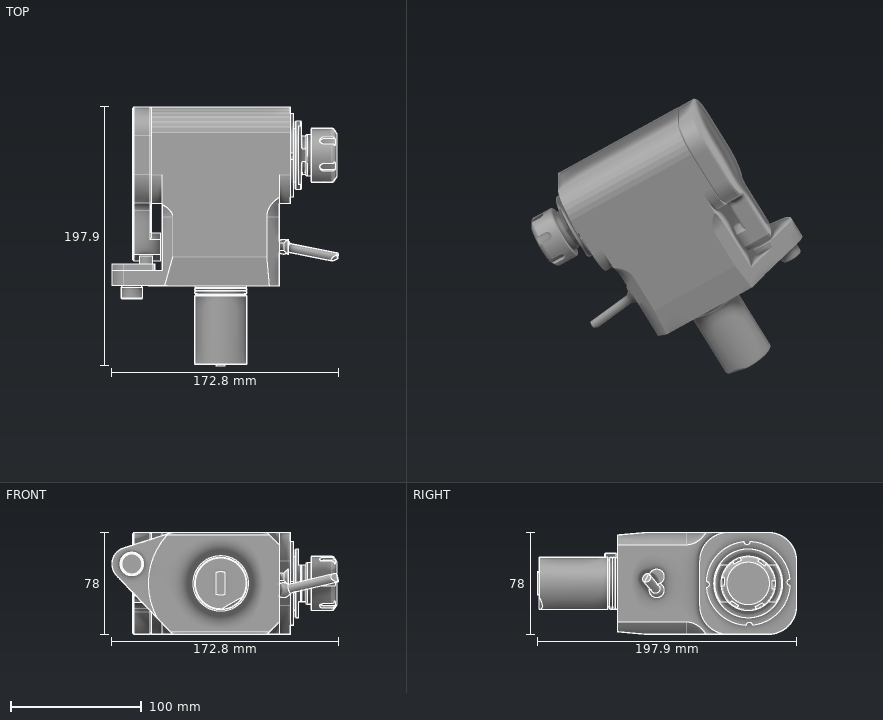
import cadquery as cq
import math


HALF_Z = 39.0
NECK_HALF_X = 44.7
HEAD_LEFT = -52.8
HEAD_RIGHT = 53.2
HEAD_TOP = 136.9
SPINDLE_Y = 99.9
HEAD_BOTTOM = 2 * SPINDLE_Y - HEAD_TOP
HEAD_RADIUS = 22.0
CORNER_FACETS = 8
FLANGE_THICKNESS = 22.2
TAPER_DROP = 2.0

CORNER_CUT_END = 52.8
CORNER_CUTTER_RADIUS = 20.0
RIGHT_CORNER_DISTANCE = 52.5
RIGHT_CORNER_ANGLE = 45

LUG_X = -70.2
LUG_Z = 14.8
LUG_RADIUS = 12.9
LUG_FRONT = 0.4
LUG_BACK = 12.0
LUG_UPPER_ANGLE = 107.6
LUG_LOWER_ANGLE = 223.8
FLANGE_FACE_RADIUS = 55.2

SHANK_RADIUS = 20.0
SHANK_LENGTH = 60.0
SHANK_CHAMFER = 0.5
COLLAR_RADIUS = 19.8
COLLAR_END = 1.8
GROOVE_RADIUS = 18.0
GROOVE_END = 7.0
SMALL_BEAD_DIAMETER = 1.7
LARGE_BEAD_DIAMETER = 2.2
BEAD_GAP = 0.2
RELIEF_DIAMETER = 42.3
RELIEF_DEPTH = 0.5
CHORD_DISTANCE = 17.2
CHORD_ANGLE = -60
TANG_WIDTH = 7.0
TANG_DIAMETER = 18.0
TANG_LENGTH = 1.0

RETAINER_DIAMETER = 64.0
RETAINER_FACE = 55.5
NOTCHES = 4
NOTCH_RADIUS = 2.4
NOTCH_TURN = 1.5

PORT_Y = 30.0
PORT_Z = 5.1
FITTING_DIAMETER = 6.0
FLARE_DIAMETER = 11.5
FLARE_START = 48.3
FLARE_END = 51.6
FLARE_RIM = 0.4
BALL_X = 47.9
BALL_DIAMETER = 11.5
TUBE_DIAMETER = 7.0
TUBE_LENGTH = 42.7
TUBE_PITCH = 13
TUBE_YAW = 11.2
TUBE_CUT_ROLL = 23
TUBE_CUT_DEPTH = 4.0

CAP_LEFT = -67.3
CAP_CHAMFER = 1.2
CAP_SHOULDER_Y = 67.8
CAP_SHOULDER_ANGLE = 13
ARM_HALF_Z = 14.6
ARM_END = 19.2
ARM_BLEND_RADIUS = 5.7
ARM_CHAMFER = 5.0
PAD_RIGHT = -45.9
PAD_TOP = 40.7

PLATE_BACK = 17.0
PLATE_RIGHT = -50.2
PLATE_LOWER_EDGE = -10.7
PLATE_CORNER = 1.4
PIN_DIAMETER = 10.0
PIN_X = -57.0
PIN_Z = 26.9
PIN_END = 23.0

BOLT_X = -67.8
BOLT_HOLE_DIAMETER = 16.0
BOLT_COUNTERSINK_DIAMETER = 18.0
BOLT_NECK_DIAMETER = 15.5
BOLT_HEAD_DIAMETER = 16.5
BOLT_HEAD_START = -1.0
BOLT_HEAD_END = -9.7
BOLT_CHAMFER = 0.5

HUB_RADIUS = 20.5
RING_RADIUS = 26.3
RING_START = 56.8
RING_END = 61.7
RING_CHAMFER = 0.8
JOURNAL_RADIUS = 14.8
JOURNAL_FILLET = 0.8
CONE_START = 65.0
CONE_END = 66.3
COLLAR_OUTER_RADIUS = 16.0
WRENCH_FLAT_START = 59.5
WRENCH_FLAT_DISTANCE = 14.0

NUT_START = 68.8
NUT_END = 88.8
NUT_RADIUS = 20.8
NUT_CONE_START = 85.8
NUT_TIP_RADIUS = 16.2
NUT_EDGE_RADIUS = 2.0
NUT_EDGE_TOLERANCE = 0.2
NUT_BACK_CHAMFER = 0.5
NUT_SLOTS = 6
NUT_SLOT_TURN = 3.5
NUT_SLOT_WIDTH = 6.3
NUT_SLOT_START = 75.5
NUT_SLOT_FLOOR = 18.2

CLEARANCE = 2.0


def cylinder(start, axis, diameter, length):
    return cq.Workplane(cq.Solid.makeCylinder(diameter / 2, length, cq.Vector(*start), cq.Vector(*axis)))


def prism_along_x(outline, x_start, x_end):
    """Extrude a closed (Y, Z) outline between two X positions."""
    return outline.extrude(x_end - x_start).translate((x_start, 0, 0))


def prism_along_y(outline, y_start, y_end):
    """Extrude a closed outline, drawn on an XZ plane, between two Y positions."""
    return outline.extrude(y_start - y_end).translate((0, y_start, 0))


def direction(angle):
    """Unit vector (X, Z) at an angle measured from +X towards +Z."""
    return math.cos(math.radians(angle)), math.sin(math.radians(angle))


def lug_side_distance(angle):
    """Distance from the shank axis to the straight lug side with this normal."""
    nx, nz = direction(angle)
    return LUG_X * nx + LUG_Z * nz + LUG_RADIUS


def lug_side_z(angle, x):
    """Height of the straight lug side with this normal at a given X."""
    nx, nz = direction(angle)
    return (lug_side_distance(angle) - nx * x) / nz


def lug_tip_point(angle):
    nx, nz = direction(angle)
    return LUG_X + LUG_RADIUS * nx, LUG_Z + LUG_RADIUS * nz




def make_head():
    facet_angle = math.radians(90 / CORNER_FACETS)
    facet_radius = HEAD_RADIUS / math.cos(facet_angle / 2)
    upper_corner = []
    for i in range(CORNER_FACETS):
        angle = (i + 0.5) * facet_angle
        y = HEAD_TOP - HEAD_RADIUS + facet_radius * math.cos(angle)
        z = HALF_Z - HEAD_RADIUS + facet_radius * math.sin(angle)
        upper_corner.append((y, z))
    lower_corner = [(y, -z) for y, z in reversed(upper_corner)]
    outline = upper_corner + [(HEAD_BOTTOM, HALF_Z), (HEAD_BOTTOM, -HALF_Z)] + lower_corner
    head = prism_along_x(cq.Workplane("YZ").polyline(outline).close(), HEAD_LEFT, HEAD_RIGHT)
    return head.edges("|X and <Y").fillet(HEAD_RADIUS)


def corner_cutter(angle, distance):
    """Cutter leaving a flat with this normal at this distance from the shank axis."""
    nx, nz = direction(angle)
    length = 4 * HALF_Z
    width = 2 * CORNER_CUTTER_RADIUS
    plane = cq.Plane((distance * nx, 0, distance * nz), xDir=(nx, 0, nz), normal=(-nz, 0, nx))
    return (
        cq.Workplane(plane)
        .moveTo(0, -CLEARANCE)
        .lineTo(width, -CLEARANCE)
        .lineTo(width, CORNER_CUT_END)
        .threePointArc((width / 2, CORNER_CUT_END + CORNER_CUTTER_RADIUS), (0, CORNER_CUT_END))
        .close()
        .extrude(length / 2, both=True)
    )


def make_neck():
    front_half_z = HALF_Z - TAPER_DROP
    neck_end = HEAD_BOTTOM + HEAD_RADIUS
    outline = [
        (0, front_half_z),
        (FLANGE_THICKNESS, HALF_Z),
        (neck_end, HALF_Z),
        (neck_end, -HALF_Z),
        (FLANGE_THICKNESS, -HALF_Z),
        (0, -front_half_z),
    ]
    neck = prism_along_x(cq.Workplane("YZ").polyline(outline).close(), -NECK_HALF_X, NECK_HALF_X)
    for angle in (RIGHT_CORNER_ANGLE, -RIGHT_CORNER_ANGLE):
        neck = neck.cut(corner_cutter(angle, RIGHT_CORNER_DISTANCE))
    for angle in (LUG_UPPER_ANGLE, LUG_LOWER_ANGLE):
        neck = neck.cut(corner_cutter(angle, lug_side_distance(angle)))
    return neck


def lug_tip_outline():
    """Open outline from the lower side around the rounded tip to the upper side."""
    return (
        cq.Workplane("XZ")
        .moveTo(*lug_tip_point(LUG_LOWER_ANGLE))
        .threePointArc((LUG_X - LUG_RADIUS, LUG_Z), lug_tip_point(LUG_UPPER_ANGLE))
    )


def make_lug():
    outline = (
        lug_tip_outline()
        .lineTo(-NECK_HALF_X, lug_side_z(LUG_UPPER_ANGLE, -NECK_HALF_X))
        .lineTo(-NECK_HALF_X, lug_side_z(LUG_LOWER_ANGLE, -NECK_HALF_X))
        .close()
    )
    return prism_along_y(outline, 0, LUG_BACK)


def make_face_step():
    """Material removed outside the round raised face on the flange and lug front."""
    size = 6 * HALF_Z
    outline = cq.Workplane("XZ").rect(size, size).circle(FLANGE_FACE_RADIUS)
    return prism_along_y(outline, -CLEARANCE, LUG_FRONT)


def make_bolt_hole():
    """Through hole in the lug with a 45 degree countersink at the front."""
    depth = (BOLT_COUNTERSINK_DIAMETER - BOLT_HOLE_DIAMETER) / 2
    hole = cylinder((BOLT_X, LUG_FRONT, LUG_Z), (0, 1, 0), BOLT_HOLE_DIAMETER, LUG_BACK - LUG_FRONT)
    cone = cq.Solid.makeCone(
        BOLT_COUNTERSINK_DIAMETER / 2,
        BOLT_HOLE_DIAMETER / 2,
        depth,
        cq.Vector(BOLT_X, LUG_FRONT, LUG_Z),
        cq.Vector(0, 1, 0),
    )
    return hole.union(cq.Workplane(cone))


def bead_profile(profile, start, diameter):
    """Add a rounded bead, reaching the shank radius, to the grooved shank profile."""
    center_radius = SHANK_RADIUS - diameter / 2
    end = start + diameter
    return (
        profile.lineTo(GROOVE_RADIUS, -start)
        .lineTo(center_radius, -start)
        .threePointArc((SHANK_RADIUS, -(start + end) / 2), (center_radius, -end))
        .lineTo(GROOVE_RADIUS, -end)
    )


def make_shank():
    large_bead_start = COLLAR_END + SMALL_BEAD_DIAMETER + BEAD_GAP
    profile = cq.Workplane("XY").moveTo(0, RELIEF_DEPTH).lineTo(COLLAR_RADIUS, RELIEF_DEPTH)
    profile = profile.lineTo(COLLAR_RADIUS, SHANK_CHAMFER - COLLAR_END)
    profile = profile.lineTo(COLLAR_RADIUS - SHANK_CHAMFER, -COLLAR_END)
    profile = bead_profile(profile, COLLAR_END, SMALL_BEAD_DIAMETER)
    profile = bead_profile(profile, large_bead_start, LARGE_BEAD_DIAMETER)
    shank = (
        profile.lineTo(GROOVE_RADIUS, -GROOVE_END)
        .lineTo(SHANK_RADIUS - SHANK_CHAMFER, -GROOVE_END)
        .lineTo(SHANK_RADIUS, -GROOVE_END - SHANK_CHAMFER)
        .lineTo(SHANK_RADIUS, SHANK_CHAMFER - SHANK_LENGTH)
        .lineTo(SHANK_RADIUS - SHANK_CHAMFER, -SHANK_LENGTH)
        .lineTo(0, -SHANK_LENGTH)
        .close()
        .revolve(360, (0, 0, 0), (0, 1, 0))
    )
    nx, nz = direction(CHORD_ANGLE)
    plane = cq.Plane((0, -SHANK_LENGTH, 0), xDir=(nx, 0, nz), normal=(-nz, 0, nx))
    cut_size = 2 * (SHANK_RADIUS - CHORD_DISTANCE)
    cut_outer = CHORD_DISTANCE + cut_size
    end_cut = (
        cq.Workplane(plane)
        .polyline([(CHORD_DISTANCE, 0), (cut_outer, cut_size), (cut_outer, 0)])
        .close()
        .extrude(SHANK_RADIUS, both=True)
    )
    tang = cylinder((0, -SHANK_LENGTH, 0), (0, -1, 0), TANG_DIAMETER, TANG_LENGTH)
    tang = tang.intersect(cq.Workplane("XY").box(TANG_WIDTH, 3 * SHANK_LENGTH, TANG_DIAMETER))
    return shank.cut(end_cut).union(tang)


def make_retainer():
    thickness = RETAINER_FACE - HEAD_RIGHT
    retainer = cylinder((HEAD_RIGHT, SPINDLE_Y, 0), (1, 0, 0), RETAINER_DIAMETER, thickness)
    axis_start = (0, SPINDLE_Y, 0)
    axis_end = (1, SPINDLE_Y, 0)
    rim_point = (HEAD_RIGHT, SPINDLE_Y, RETAINER_DIAMETER / 2)
    notch = cylinder(rim_point, (1, 0, 0), 2 * NOTCH_RADIUS, thickness)
    for i in range(NOTCHES):
        retainer = retainer.cut(notch.rotate(axis_start, axis_end, NOTCH_TURN + i * 360 / NOTCHES))
    return retainer


def make_fitting():
    return (
        cq.Workplane("XY")
        .moveTo(NECK_HALF_X, 0)
        .lineTo(NECK_HALF_X, FITTING_DIAMETER / 2)
        .lineTo(FLARE_START, FITTING_DIAMETER / 2)
        .lineTo(FLARE_END - FLARE_RIM, FLARE_DIAMETER / 2)
        .lineTo(FLARE_END, FLARE_DIAMETER / 2)
        .lineTo(FLARE_END, 0)
        .close()
        .revolve(360, (0, 0, 0), (1, 0, 0))
        .translate((0, PORT_Y, PORT_Z))
    )


def make_housing():
    relief = cylinder((0, 0, 0), (0, 1, 0), RELIEF_DIAMETER, RELIEF_DEPTH)
    ball_seat = cq.Workplane("XY").sphere(BALL_DIAMETER / 2).translate((BALL_X, PORT_Y, -PORT_Z))
    housing = make_neck().union(make_head()).union(make_lug())
    housing = housing.cut(make_face_step()).cut(make_bolt_hole()).cut(relief)
    housing = housing.union(make_shank()).union(make_retainer()).union(make_fitting())
    return housing.cut(ball_seat)




def make_cap():
    slope = math.tan(math.radians(CAP_SHOULDER_ANGLE))
    arm_root_y = CAP_SHOULDER_Y - (HALF_Z - ARM_HALF_Z) * slope
    outline = (
        cq.Workplane("YZ")
        .polyline(
            [
                (HEAD_TOP, HALF_Z),
                (CAP_SHOULDER_Y, HALF_Z),
                (arm_root_y, ARM_HALF_Z),
                (ARM_END, ARM_HALF_Z),
                (ARM_END, -ARM_HALF_Z),
                (arm_root_y, -ARM_HALF_Z),
                (CAP_SHOULDER_Y, -HALF_Z),
                (HEAD_TOP, -HALF_Z),
            ]
        )
        .close()
    )
    cap = prism_along_x(outline, CAP_LEFT, HEAD_LEFT)
    far = 2 * HALF_Z
    cover_corners = cq.selectors.BoxSelector(
        (-far, CAP_SHOULDER_Y - CLEARANCE, -far),
        (0, HEAD_TOP + CLEARANCE, far),
    )
    arm_roots = cq.selectors.BoxSelector(
        (-far, arm_root_y - CLEARANCE, -far),
        (0, arm_root_y + CLEARANCE, far),
    )
    cap = cap.edges("|X").edges(cover_corners).fillet(HEAD_RADIUS)
    cap = cap.edges("|X").edges(arm_roots).fillet(ARM_BLEND_RADIUS)
    cap = cap.edges("|X and <Y").chamfer(ARM_CHAMFER)
    cap = cap.faces("<X or >X").edges().chamfer(CAP_CHAMFER)
    pad_left = HEAD_LEFT - CAP_CHAMFER
    pad_length = PAD_TOP - ARM_END
    pad_outline = cq.Workplane("YZ").center(ARM_END + pad_length / 2, 0).rect(pad_length, 2 * ARM_HALF_Z)
    pad = prism_along_x(pad_outline, pad_left, PAD_RIGHT)
    return cap.union(pad.edges("|X").chamfer(ARM_CHAMFER))


def make_clamp_plate():
    corner_x = PLATE_RIGHT - PLATE_CORNER
    corner_z = lug_side_z(LUG_UPPER_ANGLE, corner_x)
    nx, nz = direction(LUG_LOWER_ANGLE)
    lower_x = (lug_side_distance(LUG_LOWER_ANGLE) - nz * PLATE_LOWER_EDGE) / nx
    outline = (
        lug_tip_outline()
        .lineTo(corner_x, corner_z)
        .lineTo(PLATE_RIGHT, corner_z - PLATE_CORNER)
        .lineTo(PLATE_RIGHT, PLATE_LOWER_EDGE)
        .lineTo(lower_x, PLATE_LOWER_EDGE)
        .close()
    )
    pin = cylinder((PIN_X, PLATE_BACK, PIN_Z), (0, 1, 0), PIN_DIAMETER, PIN_END - PLATE_BACK)
    return prism_along_y(outline, LUG_BACK, PLATE_BACK).union(pin)


def make_lug_bolt():
    """Bolt with its neck passing through the lug to the clamp plate."""
    neck = cylinder((BOLT_X, LUG_BACK, LUG_Z), (0, -1, 0), BOLT_NECK_DIAMETER, LUG_BACK - BOLT_HEAD_START)
    head = cylinder(
        (BOLT_X, BOLT_HEAD_START, LUG_Z), (0, -1, 0), BOLT_HEAD_DIAMETER, BOLT_HEAD_START - BOLT_HEAD_END
    )
    return neck.union(head.faces("<Y").edges().chamfer(BOLT_CHAMFER))


def make_nozzle():
    """Ball with a tube, built along +X from the ball centre and then aimed."""
    radius = TUBE_DIAMETER / 2
    tube = cylinder((0, 0, 0), (1, 0, 0), TUBE_DIAMETER, TUBE_LENGTH)
    end_cut = (
        cq.Workplane("XY")
        .polyline(
            [
                (TUBE_LENGTH - TUBE_CUT_DEPTH, -radius),
                (TUBE_LENGTH, -radius + TUBE_CUT_DEPTH),
                (TUBE_LENGTH, -radius),
            ]
        )
        .close()
        .extrude(radius, both=True)
        .rotate((0, 0, 0), (1, 0, 0), -TUBE_CUT_ROLL)
    )
    nozzle = cq.Workplane("XY").sphere(BALL_DIAMETER / 2).union(tube.cut(end_cut))
    nozzle = nozzle.rotate((0, 0, 0), (0, 1, 0), -TUBE_PITCH)
    nozzle = nozzle.rotate((0, 0, 0), (0, 0, 1), -TUBE_YAW)
    return nozzle.translate((BALL_X, PORT_Y, -PORT_Z))


def make_spindle():
    fillet = JOURNAL_FILLET
    bend = fillet * (1 - math.sqrt(0.5))
    spindle = (
        cq.Workplane("XY")
        .moveTo(RETAINER_FACE, 0)
        .lineTo(RETAINER_FACE, HUB_RADIUS)
        .lineTo(RING_START, HUB_RADIUS)
        .lineTo(RING_START, RING_RADIUS - RING_CHAMFER)
        .lineTo(RING_START + RING_CHAMFER, RING_RADIUS)
        .lineTo(RING_END - RING_CHAMFER, RING_RADIUS)
        .lineTo(RING_END, RING_RADIUS - RING_CHAMFER)
        .lineTo(RING_END, JOURNAL_RADIUS + fillet)
        .threePointArc((RING_END + bend, JOURNAL_RADIUS + bend), (RING_END + fillet, JOURNAL_RADIUS))
        .lineTo(CONE_START - fillet, JOURNAL_RADIUS)
        .threePointArc((CONE_START - bend, JOURNAL_RADIUS + bend), (CONE_START, JOURNAL_RADIUS + fillet))
        .lineTo(CONE_END, COLLAR_OUTER_RADIUS)
        .lineTo(NUT_START, COLLAR_OUTER_RADIUS)
        .lineTo(NUT_START, 0)
        .close()
        .revolve(360, (0, 0, 0), (1, 0, 0))
        .translate((0, SPINDLE_Y, 0))
    )
    flat_length = CONE_START - WRENCH_FLAT_START
    flat_height = RING_RADIUS - WRENCH_FLAT_DISTANCE
    for side in (1, -1):
        flat = cq.Workplane("XY").box(flat_length, 2 * RING_RADIUS, flat_height)
        z = side * (WRENCH_FLAT_DISTANCE + flat_height / 2)
        spindle = spindle.cut(flat.translate((WRENCH_FLAT_START + flat_length / 2, SPINDLE_Y, z)))
    return spindle


def make_nut():
    nut = (
        cq.Workplane("XY")
        .moveTo(NUT_START, 0)
        .lineTo(NUT_START, NUT_RADIUS - NUT_BACK_CHAMFER)
        .lineTo(NUT_START + NUT_BACK_CHAMFER, NUT_RADIUS)
        .lineTo(NUT_CONE_START, NUT_RADIUS)
        .lineTo(NUT_END, NUT_TIP_RADIUS)
        .lineTo(NUT_END, 0)
        .close()
        .revolve(360, (0, 0, 0), (1, 0, 0))
    )
    cone_edge = cq.selectors.BoxSelector(
        (NUT_CONE_START - NUT_EDGE_TOLERANCE, -2 * NUT_RADIUS, -2 * NUT_RADIUS),
        (NUT_CONE_START + NUT_EDGE_TOLERANCE, 2 * NUT_RADIUS, 2 * NUT_RADIUS),
    )
    nut = nut.edges("%CIRCLE").edges(cone_edge).fillet(NUT_EDGE_RADIUS)
    slot_radius = NUT_SLOT_WIDTH / 2
    slot_length = NUT_END - NUT_SLOT_START + slot_radius
    slot = (
        cq.Workplane("XY", origin=(NUT_SLOT_START + slot_length / 2, 0, NUT_SLOT_FLOOR))
        .slot2D(slot_length, NUT_SLOT_WIDTH)
        .extrude(NUT_RADIUS)
    )
    for i in range(NUT_SLOTS):
        angle = 90 - NUT_SLOT_TURN + i * 360 / NUT_SLOTS
        nut = nut.cut(slot.rotate((0, 0, 0), (1, 0, 0), angle))
    return nut.translate((0, SPINDLE_Y, 0))


housing = make_housing()
cap = make_cap()
clamp_plate = make_clamp_plate()
lug_bolt = make_lug_bolt()
nozzle = make_nozzle()
spindle = make_spindle()
nut = make_nut()

result = cq.Compound.makeCompound(
    [
        housing.val(),
        cap.val(),
        clamp_plate.val(),
        lug_bolt.val(),
        nozzle.val(),
        spindle.val(),
        nut.val(),
    ]
)